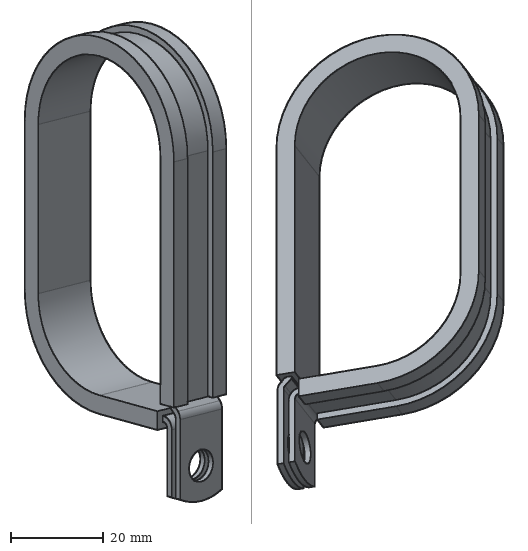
import cadquery as cq
import math

outer_radius = 23.3
straight_height = 38.0
cushion_wall = 4.2
cushion_width = 15.8
groove_width = 7.6
groove_depth = 1.5
foot_end_x = 18.2
leg_end_z = -17.3

strap_thickness = 1.4
strap_width = 12.6
inner_bend_radius = 1.1
overall_height = 101.0
tab_gap = 1.2
leg_tab_overhang = 0.3
jog_start_drop = 0.6
jog_angle = 45.0
jog_bend_radius = 1.0
strap_embed = 1.0
tip_sag = 1.5
hole_diameter = 7.2
hole_to_tip = 8.0

strap_outer_radius = outer_radius - groove_depth
strap_inner_radius = strap_outer_radius - strap_thickness
tip_z = straight_height + outer_radius - overall_height
leg_tab_outer_x = outer_radius + leg_tab_overhang
leg_tab_inner_x = leg_tab_outer_x - strap_thickness
foot_tab_outer_x = leg_tab_inner_x - tab_gap
foot_tab_inner_x = foot_tab_outer_x - strap_thickness


def extrude_centred(outline, width):
    """Extrude a closed XZ outline equally to both sides of Y = 0."""
    return outline.extrude(width / 2, both=True)


def loop_band(outside, inside, width):
    """Band between two concentric loop radii, from the foot end to the leg end."""
    diagonal = math.sqrt(0.5)
    outline = (
        cq.Workplane("XZ")
        .moveTo(foot_end_x, -outside)
        .lineTo(0, -outside)
        .threePointArc((-outside * diagonal, -outside * diagonal), (-outside, 0))
        .lineTo(-outside, straight_height)
        .threePointArc((0, straight_height + outside), (outside, straight_height))
        .lineTo(outside, leg_end_z)
        .lineTo(inside, leg_end_z)
        .lineTo(inside, straight_height)
        .threePointArc((0, straight_height + inside), (-inside, straight_height))
        .lineTo(-inside, 0)
        .threePointArc((-inside * diagonal, -inside * diagonal), (0, -inside))
        .lineTo(foot_end_x, -inside)
        .close()
    )
    return extrude_centred(outline, width)


def cushion():
    body = loop_band(outer_radius, outer_radius - cushion_wall, cushion_width)
    groove = loop_band(outer_radius, strap_outer_radius, groove_width)
    return body.cut(groove)


def foot_tab():
    """Strap leaving the foot horizontally and bending down."""
    outer_bend_radius = inner_bend_radius + strap_thickness
    bend_x = foot_tab_outer_x - outer_bend_radius
    bend_z = -strap_inner_radius - outer_bend_radius
    outline = (
        cq.Workplane("XZ")
        .moveTo(foot_end_x - strap_embed, -strap_inner_radius)
        .lineTo(bend_x, -strap_inner_radius)
        .tangentArcPoint((foot_tab_outer_x, bend_z), relative=False)
        .lineTo(foot_tab_outer_x, tip_z)
        .lineTo(foot_tab_inner_x, tip_z)
        .lineTo(foot_tab_inner_x, bend_z)
        .tangentArcPoint((bend_x, -strap_outer_radius), relative=False)
        .lineTo(foot_end_x - strap_embed, -strap_outer_radius)
        .close()
    )
    return extrude_centred(outline, strap_width)


def leg_tab():
    """Strap leaving the leg downward, with a slanted jog outward."""
    jog_drop = (leg_tab_outer_x - strap_outer_radius) / math.tan(math.radians(jog_angle))
    inner_jog_z = leg_end_z - jog_start_drop
    outer_jog_z = inner_jog_z + strap_thickness * math.tan(math.radians(jog_angle / 2))
    inner_lower_z = inner_jog_z - jog_drop
    outer_lower_z = outer_jog_z - jog_drop
    outline = (
        cq.Workplane("XZ")
        .moveTo(strap_outer_radius, leg_end_z + strap_embed)
        .lineTo(strap_outer_radius, outer_jog_z)
        .lineTo(leg_tab_outer_x, outer_lower_z)
        .lineTo(leg_tab_outer_x, tip_z)
        .lineTo(leg_tab_inner_x, tip_z)
        .lineTo(leg_tab_inner_x, inner_lower_z)
        .lineTo(strap_inner_radius, inner_jog_z)
        .lineTo(strap_inner_radius, leg_end_z + strap_embed)
        .close()
    )
    tab = extrude_centred(outline, strap_width)

    def edge_at(x, z):
        return cq.selectors.NearestToPointSelector((x, 0, z))

    tab = tab.edges(edge_at(leg_tab_outer_x, outer_lower_z)).fillet(jog_bend_radius + strap_thickness)
    return tab.edges(edge_at(leg_tab_inner_x, inner_lower_z)).fillet(jog_bend_radius)


def tab_silhouette():
    """Block along X with the curved tip and bolt hole shared by both tabs."""
    half_width = strap_width / 2
    outline = (
        cq.Workplane("YZ")
        .moveTo(-half_width, 0)
        .lineTo(-half_width, tip_z + tip_sag)
        .threePointArc((0, tip_z), (half_width, tip_z + tip_sag))
        .lineTo(half_width, 0)
        .close()
    )
    block = outline.extrude(leg_tab_outer_x)
    hole = (
        cq.Workplane("YZ")
        .center(0, tip_z + hole_to_tip)
        .circle(hole_diameter / 2)
        .extrude(leg_tab_outer_x)
    )
    return block.cut(hole)


tabs = foot_tab().union(leg_tab()).intersect(tab_silhouette())
result = cushion().union(tabs)